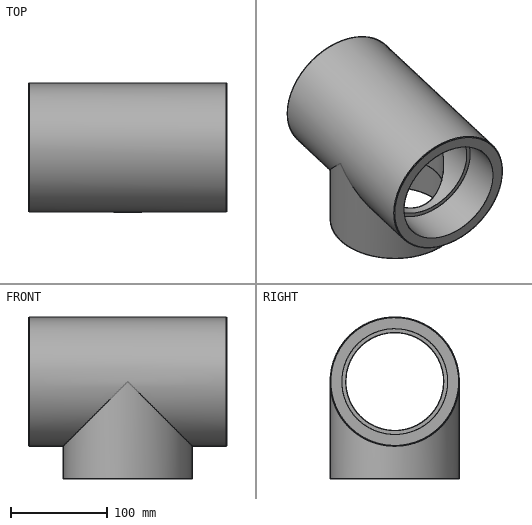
import cadquery as cq

run_length = 206.0
outer_diameter = 134.5
overall_height = 168.7
bore_diameter = 101.5
socket_diameter = 110.0
stop_distance = 59.3
rim_chamfer = 0.8

outer_radius = outer_diameter / 2
branch_length = overall_height - outer_radius
run_end = run_length / 2
run_socket_depth = run_end - stop_distance
branch_socket_depth = branch_length - stop_distance


def run_cylinder(diameter, start, length):
    """Cylinder on the run axis, starting at X = start."""
    return cq.Workplane("YZ", origin=(start, 0, 0)).circle(diameter / 2).extrude(length)


def branch_cylinder(diameter, start, length):
    """Cylinder on the branch axis, starting at Z = start and going up."""
    return cq.Workplane("XY", origin=(0, 0, start)).circle(diameter / 2).extrude(length)


run = run_cylinder(outer_diameter, -run_end, run_length).faces("<X or >X").chamfer(rim_chamfer)
branch = branch_cylinder(outer_diameter, -branch_length, branch_length).faces("<Z").chamfer(rim_chamfer)
body = run.union(branch)

body = body.cut(run_cylinder(bore_diameter, -run_end, run_length))
body = body.cut(branch_cylinder(bore_diameter, -branch_length, branch_length))

for socket_start in (-run_end, stop_distance):
    body = body.cut(run_cylinder(socket_diameter, socket_start, run_socket_depth))
body = body.cut(branch_cylinder(socket_diameter, -branch_length, branch_socket_depth))

result = body